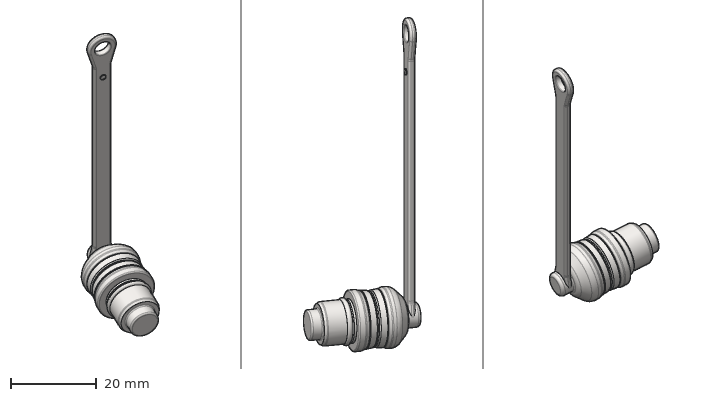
import cadquery as cq
import math


knob_radius = 6.0 / 2
knob_face_rounding = 0.8
neck_fillet = 0.3

grip_radius = 14.5 / 2
dome_start = 3.4
dome_face_radius = 4.3
dome_length = grip_radius - dome_face_radius
dome_rounding = 2.1

waist_middle = 11.5
shoulder_half_width = 3.2
shoulder_rounding = 0.8
notch_outer_half_width = 2.4
notch_floor_half_width = 2.3
notch_inner_half_width = 2.0
groove_half_width = 0.5
groove_floor_half_width = 0.2
notch_outer_radius = 6.95
notch_floor_radius = 6.9
notch_inner_radius = 6.95
groove_edge_radius = 6.8
groove_floor_radius = 6.5

flange_end = 16.5
flange_rounding = 0.3

barrel_radius = 10.5 / 2
barrel_end = 24.2
seat_radius = 8.7 / 2
seat_start = 17.3
seat_end = 18.7
seat_chamfer = 0.25
lead_in_length = 0.7
lead_in_depth = 0.4
lead_in_blend = 0.5

nub_radius = 7.3 / 2
nub_end = 27.0
nub_rounding = 0.4
nub_root_fillet = 0.25

ring_section_radius = 0.65

strap_start = 1.4
strap_thickness = 1.6
strap_width = 4.45
strap_edge_rounding = 0.6
eye_outer_radius = 7.3 / 2
eye_hole_radius = 4 / 2
eye_hole_rounding = 0.2
overall_height = 80.7
eye_height = overall_height - grip_radius - eye_outer_radius
lower_flare_start = 4.0
upper_flare_length = 6.0
flare_blend_radius = 2.0

pip_radius = 0.7
pip_height = 0.25
pip_drop = 9.45

TOLERANCE = 0.01


def round_rim(body, station, rim_radius, rounding):
    """Round the circular edge of the given radius that lies at the given station."""
    rim = body.edges("%CIRCLE").filter(
        lambda edge: abs(edge.Center().x - station) < TOLERANCE
        and abs(edge.radius() - rim_radius) < TOLERANCE
    )
    return rim.fillet(rounding)


def waist_points():
    """Outline of the waist: two shoulders, two notches and a middle groove."""
    left_half = [
        (shoulder_half_width, grip_radius),
        (notch_outer_half_width, notch_outer_radius),
        (notch_floor_half_width, notch_floor_radius),
        (notch_inner_half_width, notch_inner_radius),
        (groove_half_width, groove_edge_radius),
        (groove_floor_half_width, groove_floor_radius),
    ]
    left = [(waist_middle - offset, radius) for offset, radius in left_half]
    right = [(waist_middle + offset, radius) for offset, radius in reversed(left_half)]
    return left + right


def make_turned_body():
    """Knob, domed grip, flange, barrel and nub as one revolved solid."""
    outline = [
        (0, 0),
        (0, knob_radius),
        (dome_start, knob_radius),
        (dome_start, dome_face_radius),
        (dome_start + dome_length, grip_radius),
        *waist_points(),
        (flange_end, grip_radius),
        (flange_end, barrel_radius),
        (seat_start - seat_chamfer, barrel_radius),
        (seat_start, barrel_radius - seat_chamfer),
        (seat_start, seat_radius),
        (seat_end, seat_radius),
        (seat_end, barrel_radius),
        (barrel_end - lead_in_length, barrel_radius),
        (barrel_end, barrel_radius - lead_in_depth),
        (barrel_end, nub_radius),
        (nub_end, nub_radius),
        (nub_end, 0),
    ]
    body = cq.Workplane("XY").polyline(outline).close().revolve(360, (0, 0), (1, 0))
    body = round_rim(body, 0, knob_radius, knob_face_rounding)
    body = round_rim(body, dome_start + dome_length, grip_radius, dome_rounding)
    body = round_rim(body, dome_start, dome_face_radius, dome_rounding)
    body = round_rim(body, dome_start, knob_radius, neck_fillet)
    for side in (-1, 1):
        shoulder_station = waist_middle + side * shoulder_half_width
        body = round_rim(body, shoulder_station, grip_radius, shoulder_rounding)
    body = round_rim(body, flange_end, grip_radius, flange_rounding)
    body = round_rim(body, barrel_end - lead_in_length, barrel_radius, lead_in_blend)
    body = round_rim(body, barrel_end, nub_radius, nub_root_fillet)
    return round_rim(body, nub_end, nub_radius, nub_rounding)


def tangent_point(radius, distance):
    """Where the line from (half strap width, distance) touches a circle about the origin."""
    half_width = strap_width / 2
    reach = math.hypot(half_width, distance)
    angle = math.atan2(distance, half_width) - math.acos(radius / reach)
    return radius * math.cos(angle), radius * math.sin(angle)


def make_strap():
    """Flat strap that flares into the knob below and into the eye above."""
    half_width = strap_width / 2
    upper_flare_start = eye_height - upper_flare_length
    foot_y, foot_z = tangent_point(knob_radius, lower_flare_start)
    eye_y, eye_drop = tangent_point(eye_outer_radius, upper_flare_length)
    eye_z = eye_height - eye_drop

    plate = (
        cq.Workplane("YZ", origin=(strap_start, 0, 0))
        .moveTo(-foot_y, foot_z)
        .lineTo(foot_y, foot_z)
        .lineTo(half_width, lower_flare_start)
        .lineTo(half_width, upper_flare_start)
        .lineTo(eye_y, eye_z)
        .threePointArc((0, eye_height + eye_outer_radius), (-eye_y, eye_z))
        .lineTo(-half_width, upper_flare_start)
        .lineTo(-half_width, lower_flare_start)
        .close()
        .extrude(strap_thickness)
    )
    flare_corners = plate.edges("|X").filter(
        lambda edge: abs(abs(edge.Center().y) - half_width) < TOLERANCE
    )
    plate = flare_corners.fillet(flare_blend_radius)
    plate = plate.faces("<X or >X").edges().fillet(strap_edge_rounding)

    hole = (
        cq.Workplane("YZ", origin=(strap_start, 0, eye_height))
        .circle(eye_hole_radius)
        .extrude(strap_thickness)
    )
    plate = plate.cut(hole)
    hole_rims = plate.edges("%CIRCLE").filter(
        lambda edge: abs(edge.radius() - eye_hole_radius) < TOLERANCE
    )
    plate = hole_rims.fillet(eye_hole_rounding)

    pip = (
        cq.Workplane("YZ", origin=(strap_start + strap_thickness, 0, eye_height - pip_drop))
        .circle(pip_radius)
        .extrude(pip_height)
    )
    return plate.union(pip)


def make_plug():
    """Turned plug and its strap, moulded in one piece."""
    return make_turned_body().union(make_strap())


def make_o_ring():
    """O-ring resting on the floor of its seat."""
    seat_middle = (seat_start + seat_end) / 2
    section_centre_radius = seat_radius + ring_section_radius
    return (
        cq.Workplane("XY")
        .center(seat_middle, section_centre_radius)
        .circle(ring_section_radius)
        .revolve(360, (0, -section_centre_radius), (1, -section_centre_radius))
    )


plug = make_plug()
o_ring = make_o_ring()

result = cq.Compound.makeCompound([plug.val(), o_ring.val()])